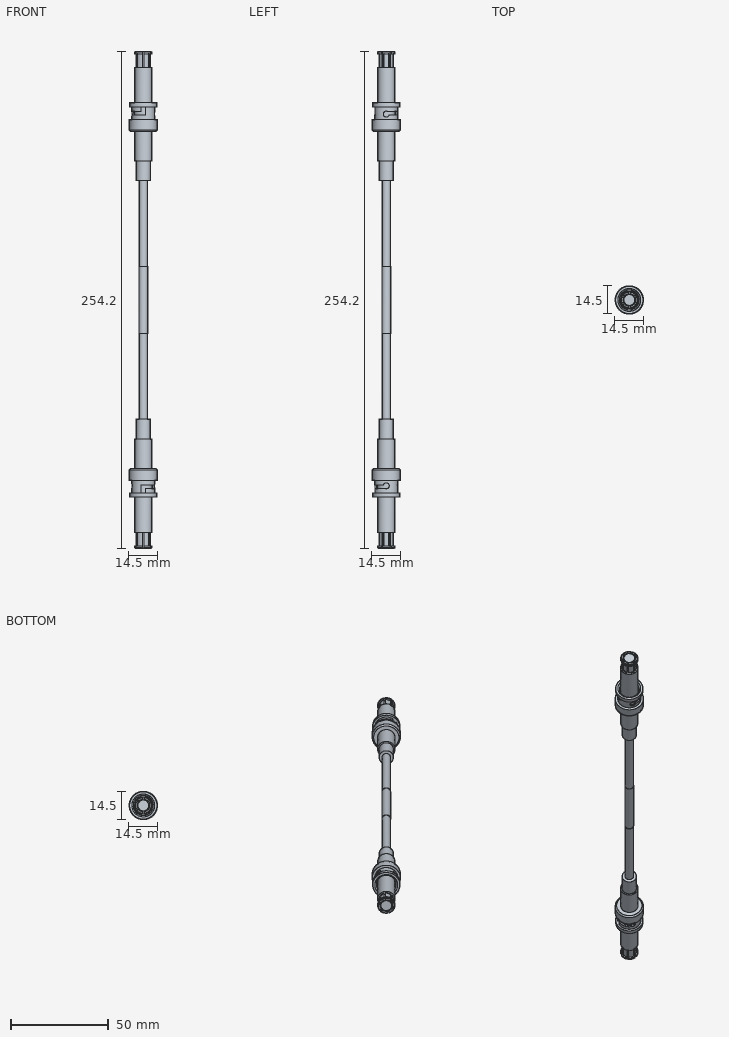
import cadquery as cq

total_length = 254.2
tip_top = total_length / 2

cable_diameter = 4.3
cable_end = 71.2
band_diameter = 4.5
band_length = 34.3

boot_bottom = 61.0
boot_diameter = 7.4
sleeve_bottom = cable_end
sleeve_diameter = 9.0
ring_bottom = 86.2
ring_top = 92.3
ring_diameter = 14.5
ring_chamfer = 0.8
nut_diameter = 12.0
nut_bore_diameter = 10.2
mouth_chamfer = 0.8
flange_bottom = 98.6
flange_top = 101.0
flange_diameter = 14.0

slot_count = 2
slot_entry_angle = -90
slot_sweep = 90
slot_width = 1.8
slot_height = 95.5
entry_width = 2.3
detent_diameter = 3.0
detent_height = 95.0

barrel_diameter = sleeve_diameter
tip_bottom = 119.0
tip_diameter = 7.4
tip_bore_diameter = 6.4
rim_diameter = 9.0
rim_height = 1.3
rim_chamfer = 0.38
post_diameter = 5.5
slit_count = 6
first_slit_angle = 30
slit_width = 0.8


def cylinder(diameter, bottom, top):
    """Upright cylinder on the Z axis between two heights."""
    return cq.Workplane("XY").workplane(offset=bottom).circle(diameter / 2).extrude(top - bottom)


def turned(shape, angle):
    """The shape turned about the Z axis."""
    return shape.rotate((0, 0, 0), (0, 0, 1), angle)


def radial_slab(length, width, bottom, top):
    """Upright slab from the Z axis along +X."""
    slab = cq.Workplane("XY").workplane(offset=bottom)
    return slab.center(length / 2, 0).rect(length, width).extrude(top - bottom)


def make_cable():
    """Cable reaching into both boots, with a slightly thicker band around its middle."""
    cable = cylinder(cable_diameter, -cable_end, cable_end)
    return cable.union(cylinder(band_diameter, -band_length / 2, band_length / 2))


def make_bayonet_slot():
    """Cutter with an axial entry at +X, a run clockwise around the nut and a detent hole at its end."""
    reach = ring_diameter / 2
    entry = radial_slab(reach, entry_width, slot_height - slot_width / 2, flange_bottom)
    run = (
        cq.Workplane("XZ")
        .center(reach / 2, slot_height)
        .rect(reach, slot_width)
        .revolve(slot_sweep, (-reach / 2, 0, 0), (-reach / 2, -1, 0))
    )
    detent = cq.Workplane("YZ").center(0, detent_height).circle(detent_diameter / 2).extrude(reach)
    return entry.union(run).union(turned(detent, -slot_sweep))


def make_plug():
    """Boot and sleeve on the cable, and a coupling nut that is open upwards."""
    boot = cylinder(boot_diameter, boot_bottom, sleeve_bottom)
    boot = boot.cut(cylinder(cable_diameter, boot_bottom, cable_end))
    sleeve = cylinder(sleeve_diameter, sleeve_bottom, ring_bottom)
    ring = cylinder(ring_diameter, ring_bottom, ring_top).faces("<Z").edges().chamfer(ring_chamfer)

    nut = cylinder(nut_diameter, ring_top, flange_bottom)
    nut = nut.union(cylinder(flange_diameter, flange_bottom, flange_top))
    nut = nut.cut(cylinder(nut_bore_diameter, ring_top, flange_top))
    mouth = nut.faces(">Z").edges(cq.selectors.RadiusNthSelector(0))
    nut = mouth.chamfer(mouth_chamfer)
    slot = turned(make_bayonet_slot(), slot_entry_angle)
    for index in range(slot_count):
        nut = nut.cut(turned(slot, index * 360 / slot_count))

    return boot.union(sleeve).union(ring).union(nut)


def make_adapter():
    """Barrel standing on the floor of the nut, ending in a ring of fingers around a post."""
    rim = cylinder(rim_diameter, tip_top - rim_height, tip_top).faces(">Z").edges().chamfer(rim_chamfer)
    fingers = cylinder(tip_diameter, tip_bottom, tip_top).union(rim)
    fingers = fingers.cut(cylinder(tip_bore_diameter, tip_bottom, tip_top))
    slit = radial_slab(rim_diameter, slit_width, tip_bottom, tip_top)
    for index in range(slit_count):
        fingers = fingers.cut(turned(slit, first_slit_angle + index * 360 / slit_count))

    barrel = cylinder(barrel_diameter, ring_top, tip_bottom)
    post = cylinder(post_diameter, tip_bottom, tip_top)
    return barrel.union(fingers).union(post)


cable = make_cable()
plug = make_plug()
adapter = make_adapter()

bodies = [cable.val()]
for end_turn in (0, 180):
    for end_part in (plug, adapter):
        bodies.append(end_part.rotate((0, 0, 0), (0, 1, 0), end_turn).val())

result = cq.Compound.makeCompound(bodies)